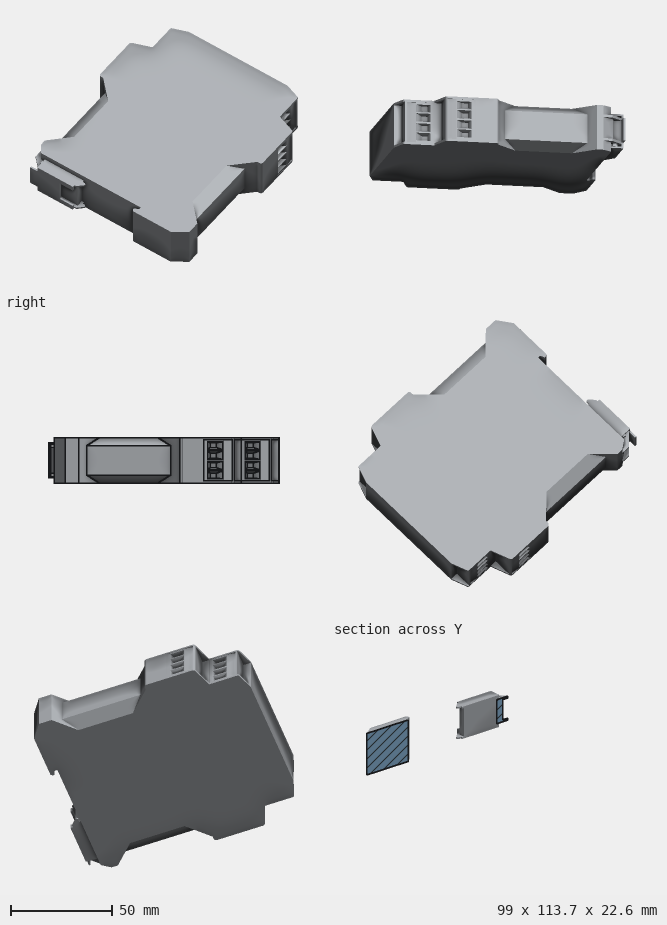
import cadquery as cq
import math


thickness = 22.6
half_thickness = thickness / 2
half_width = 99.0 / 2
height = 113.7
shoulder_slope = math.tan(math.radians(20))
top_half_width = 30.0
upper_half_width = 38.8
upper_step_y = 95.0
lower_block_y = 64.6
lower_lip = 2.6
waist_half_width = 36.0
waist_bottom_y = 25.0
base_half_width = 46.4
rail_face_y = 6.8
upper_corner_radius = 0.9
outer_corner_radius = 1.4

upper_corner_y = height - (upper_half_width - top_half_width) * shoulder_slope
outer_corner_y = upper_step_y - (half_width - upper_half_width) * shoulder_slope
lip_x = half_width - lower_lip
waist_top_y = lower_block_y - (lip_x - waist_half_width)
base_top_y = waist_bottom_y - (base_half_width - waist_half_width)

chamfer_top_y = 11.4
chamfer_end_x = -43.2

hook_x = 17.5
hook_tip_x = 15.2
hook_neck_y = 5.5
hook_tip_top_y = 4.4
hook_tip_bottom_y = 3.4
foot_y = 2.6
foot_corner_x = 38.9
foot_side_y = 8.0

ridge_x = 42.4
ridge_half_z = 7.3

skin = 1.1
block_half_z = half_thickness - skin
cut_clearance = 1.1
panel_inset = 0.1
lead_in_inset = 0.8
lead_in_height = 4.5
lip_height = 0.9
upper_lead_in_top_y = 108.9
lower_lead_in_top_y = 90.6
lower_panel_bottom_y = 76.5

opening_length = 7.3
opening_depth = 2.3
opening_top_gap = 0.2
opening_spans = ((9.1, 5.2, 8.8, 6.4), (4.7, 0.5, 3.6, 1.1))
floor_top_gap = 3.2
floor_length = 3.0

latch_left_x = -40.5
latch_half_z = 8.6
wall = 0.9
latch_back_y = 6.5
core_end_x = -18.1
latch_front_end_x = -18.9
nose_tip_x = -14.8
nose_neck_x = -16.8
nose_front_y = 1.4
nose_back_y = 5.5
nose_slope = 3.0
nose_chamfer = 0.6
tab_x = -44.8
tab_half_z = 5.8
notch_x = -26.8
rib_outer_z = 6.6
rib_inner_z = 5.3
pad_y = 5.7
core_left_x = -39.8
core_front_y = 3.0
lug_x = -41.3
lug_front_y = 3.8
lug_back_y = 5.5
lug_outer_z = 8.0


def box(x0, x1, y0, y1, z0, z1):
    return cq.Workplane("XY").box(x1 - x0, y1 - y0, z1 - z0, centered=False).translate((x0, y0, z0))


def prism(points, z0, z1):
    """Extrude a closed XY outline between two Z levels."""
    return cq.Workplane("XY").workplane(offset=z0).polyline(points).close().extrude(z1 - z0)


def both_faces(solid):
    return solid.union(solid.mirror("XY"))


def both_sides(solid):
    return solid.union(solid.mirror("YZ"))


def make_housing():
    right_side = [
        (base_half_width, base_top_y),
        (waist_half_width, waist_bottom_y),
        (waist_half_width, waist_top_y),
        (lip_x, lower_block_y),
        (half_width, lower_block_y),
        (half_width, outer_corner_y),
        (upper_half_width, upper_step_y),
        (upper_half_width, upper_corner_y),
        (top_half_width, height),
    ]
    left_side = [(-x, y) for x, y in reversed(right_side)]
    base = [
        (-base_half_width, chamfer_top_y),
        (chamfer_end_x, rail_face_y),
        (hook_x, rail_face_y),
        (hook_x, hook_neck_y),
        (hook_tip_x, hook_tip_top_y),
        (hook_tip_x, hook_tip_bottom_y),
        (hook_tip_x + hook_tip_bottom_y - foot_y, foot_y),
        (foot_corner_x, foot_y),
        (base_half_width, foot_side_y),
    ]
    housing = prism(right_side + left_side + base, -half_thickness, half_thickness)

    reach = 0.1

    def corner_edges(x, y):
        near = cq.selectors.BoxSelector((x - reach, y - reach, -reach), (x + reach, y + reach, reach))
        return housing.edges(near)

    for side in (-1, 1):
        housing = corner_edges(side * upper_half_width, upper_corner_y).fillet(upper_corner_radius)
        for y in (outer_corner_y, lower_block_y):
            housing = corner_edges(side * half_width, y).fillet(outer_corner_radius)
    return housing


def make_ridge():
    """Ridge on the -X side: it grows along Y and narrows in Z away from the waist."""
    rise = ridge_x - waist_half_width
    waist_length = waist_top_y - waist_bottom_y
    return (
        cq.Workplane("YZ", origin=(-waist_half_width, (waist_top_y + waist_bottom_y) / 2, 0))
        .rect(waist_length, thickness)
        .workplane(offset=-rise)
        .rect(waist_length + 2 * rise, 2 * ridge_half_z)
        .loft(ruled=True)
    )


def terminal_cut(inner_x, outer_x, lead_in_top_y, panel_bottom_y):
    """Space between the skins at a -X terminal block: a recess, a lip below it, then the panel."""
    panel_x = outer_x - panel_inset
    clear_x = outer_x + cut_clearance
    clear_y = height + cut_clearance
    lip_top_y = lead_in_top_y + lip_height
    panel_outline = [
        (-(outer_x - lead_in_inset), lead_in_top_y),
        (-panel_x, lead_in_top_y - lead_in_height),
        (-panel_x, panel_bottom_y),
        (-clear_x, panel_bottom_y),
        (-clear_x, lead_in_top_y),
    ]
    recess = box(-clear_x, -inner_x, lip_top_y, clear_y, -block_half_z, block_half_z)
    return recess.union(prism(panel_outline, -block_half_z, block_half_z))


def wire_openings(outer_x, panel_top_y):
    """Four funnels entering one terminal panel from the -X side."""
    panel_x = outer_x - panel_inset
    top_y = panel_top_y - opening_top_gap
    mouth_y = top_y - opening_length / 2
    floor_y = top_y - floor_top_gap - floor_length / 2
    openings = cq.Workplane("XY")
    for mouth_high, mouth_low, floor_high, floor_low in opening_spans:
        mouth_z = (mouth_high + mouth_low) / 2
        floor_z = (floor_high + floor_low) / 2
        funnel = (
            cq.Workplane("YZ", origin=(-panel_x, mouth_y, mouth_z))
            .rect(opening_length, mouth_high - mouth_low)
            .workplane(offset=opening_depth)
            .center(floor_y - mouth_y, floor_z - mouth_z)
            .rect(floor_length, floor_high - floor_low)
            .loft(ruled=True)
        )
        openings = openings.union(both_faces(funnel))
    return openings


def make_latch_wall():
    """Side wall of the latch with its hooked nose."""
    outline = [
        (latch_left_x, 0),
        (latch_front_end_x, 0),
        (latch_front_end_x, nose_front_y),
        (nose_tip_x - nose_slope, nose_front_y),
        (nose_tip_x, nose_front_y + nose_slope),
        (nose_tip_x, nose_back_y - nose_chamfer),
        (nose_tip_x - nose_chamfer, nose_back_y),
        (nose_neck_x, nose_back_y),
        (nose_neck_x, latch_back_y),
        (latch_left_x, latch_back_y),
    ]
    return prism(outline, latch_half_z - wall, latch_half_z)


def make_latch():
    inner_z = latch_half_z - wall
    front = box(latch_left_x, latch_front_end_x, 0, wall, -inner_z, inner_z)
    notch = box(notch_x, latch_front_end_x, 0, wall, -tab_half_z, tab_half_z)
    tab = box(tab_x, latch_left_x, 0, wall, -tab_half_z, tab_half_z)
    back = box(latch_left_x, core_left_x, pad_y, latch_back_y, -inner_z, inner_z)
    core = box(core_left_x, core_end_x, core_front_y, latch_back_y, -inner_z, inner_z)
    web = box(core_left_x, core_left_x + wall, wall, rail_face_y, -rib_outer_z, rib_outer_z)
    lug = box(lug_x, latch_left_x + wall, lug_front_y, lug_back_y, rib_inner_z, lug_outer_z)
    latch = front.cut(notch).union(tab).union(back).union(core).union(web)
    return latch.union(both_faces(make_latch_wall())).union(both_faces(lug))


def make_latch_mount():
    """Two ribs carrying the latch, with the base chamfer continued between them."""
    rib = prism(
        [
            (-base_half_width, chamfer_top_y),
            (-base_half_width, rail_face_y),
            (latch_left_x, rail_face_y - (base_half_width + latch_left_x)),
            (core_left_x, wall),
            (core_left_x, chamfer_top_y),
        ],
        rib_inner_z,
        rib_outer_z,
    )
    chamfer_run = (base_half_width + chamfer_end_x) / (chamfer_top_y - rail_face_y)
    pad = prism(
        [
            (chamfer_end_x, rail_face_y),
            (chamfer_end_x + chamfer_run * (rail_face_y - pad_y), pad_y),
            (core_left_x, pad_y),
            (core_left_x, rail_face_y),
        ],
        -rib_outer_z,
        rib_outer_z,
    )
    return both_faces(rib).union(pad)


upper_panel_top_y = upper_lead_in_top_y - lead_in_height
lower_panel_top_y = lower_lead_in_top_y - lead_in_height

terminals = (
    terminal_cut(top_half_width, upper_half_width, upper_lead_in_top_y, upper_step_y)
    .union(terminal_cut(upper_half_width, half_width, lower_lead_in_top_y, lower_panel_bottom_y))
    .union(wire_openings(upper_half_width, upper_panel_top_y))
    .union(wire_openings(half_width, lower_panel_top_y))
)

result = (
    make_housing()
    .union(both_sides(make_ridge()))
    .cut(both_sides(terminals))
    .union(make_latch_mount())
    .union(make_latch())
)